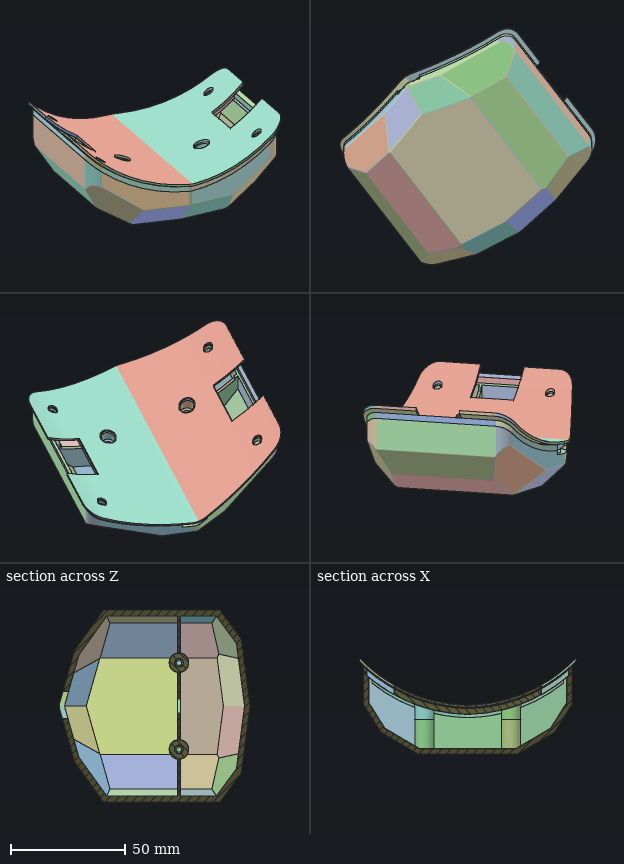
import cadquery as cq
import math

plate_half_length = 47.4
left_tip_x = -43.9
right_tip_x = 43.4
left_taper = 15.8
right_taper = 7.4
plate_corner_radius = 8.0
plate_tip_radius = 11.4

saddle_radius = 67.3
saddle_centre_offset = 1.1
plate_top_z = 42.2
plate_thickness = 1.0
lid_gap = 0.4
lid_height = 2.7

housing_inset = 1.7
housing_tip_radius = 5.7
wall = 2.5
side_bevel = 10.6
upper_facet_z = 21.8
knee_y = 38.0
knee_z = 9.6
floor_half_length = 21.8
facet_round = 0.8
border_round = 0.7

left_facet_knee_x = -20.6
left_facet_turn = 35.7
left_facet_dip = 31.0
right_facet_knee_x = 25.8
right_facet_turn = 36.4
right_facet_dip = 34.9

notch_left_x = -8.1
notch_right_x = 11.8
notch_inner_y = 32.2
opening_margin = 1.9
rim_width = 1.6

mount_hole_x = (-23.1, 28.45)
mount_hole_y = 37.4
mount_hole_diameter = 4.0
lid_mount_hole_diameter = 3.5
screw_x = 10.5
screw_y = 19.0
screw_access_diameter = 7.0
screw_head_diameter = 6.0
screw_clearance_diameter = 3.6
screw_pilot_diameter = 2.5
screw_pilot_depth = 7.6
drill_tip_angle = 118.0
screw_seat_z = 17.1
boss_diameter = 8.5
boss_joint_z = 15.2

divider_thickness = 1.2
divider_drop = 1.4
divider_full_height_y = 41.9

slot_width = 11.95
slot_centre_y = 0.5
slot_drop = 1.8
slot_lid_face_x = -39.8
slot_inner_x = -36.0

span = 142.3
level_tolerance = 0.03


def outline_prism(inset, corner_radius, tip_radius):
    """Vertical prism over the plan outline moved inwards by `inset`."""
    half_length = plate_half_length - inset
    left = math.radians(left_taper)
    right = math.radians(right_taper)
    left_tip = left_tip_x + inset / math.cos(left)
    right_tip = right_tip_x - inset / math.cos(right)
    left_end = left_tip + half_length * math.tan(left)
    right_end = right_tip - half_length * math.tan(right)
    prism = (
        cq.Workplane("XY")
        .polyline([
            (left_tip, 0),
            (left_end, -half_length),
            (right_end, -half_length),
            (right_tip, 0),
            (right_end, half_length),
            (left_end, half_length),
        ])
        .close()
        .extrude(span)
    )
    prism = prism.edges("|Z and (>Y or <Y)").edges("|Z").fillet(corner_radius)
    return prism.edges("|Z and (<X or >X)").fillet(tip_radius)


def below_saddle(offset=0.0, drop=0.0):
    """Everything below the saddle curve, offset outwards and then moved straight down."""
    radius = saddle_radius + offset
    end_y = plate_half_length + 1.9
    centre_z = plate_top_z + math.sqrt(
        saddle_radius**2 - (plate_half_length + saddle_centre_offset) ** 2
    )

    def curve_z(y):
        return centre_z - drop - math.sqrt(radius**2 - (y + saddle_centre_offset) ** 2)

    middle_y = end_y / 2
    return (
        cq.Workplane("YZ")
        .workplane(offset=-span / 2)
        .moveTo(-end_y, -span)
        .lineTo(-end_y, curve_z(end_y))
        .threePointArc((-middle_y, curve_z(middle_y)), (0, curve_z(0)))
        .threePointArc((middle_y, curve_z(middle_y)), (end_y, curve_z(end_y)))
        .lineTo(end_y, -span)
        .close()
        .extrude(span)
    )


def block(x_range, y_range, z_range=(-span, span)):
    """Box between the given limits."""
    size = [high - low for low, high in (x_range, y_range, z_range)]
    corner = (x_range[0], y_range[0], z_range[0])
    return cq.Workplane("XY").box(*size, centered=False).translate(corner)


def cylinder(x, y, diameter, low_z=-span, high_z=span):
    """Vertical cylinder between two heights."""
    return (
        cq.Workplane("XY", origin=(x, y, low_z))
        .circle(diameter / 2)
        .extrude(high_z - low_z)
    )


def outer_side(point, normal, inset):
    """Solid on the outer side of a plane that is moved inwards by `inset`."""
    plane = cq.Plane(origin=point, normal=normal)
    return (
        cq.Workplane(plane)
        .workplane(offset=-inset)
        .rect(2 * span, 2 * span)
        .extrude(span)
    )


def facet_planes():
    """Point and outward normal of every lower facet of the housing."""
    planes = []
    left = math.radians(left_taper)
    right = math.radians(right_taper)
    left_edge_x = left_tip_x + housing_inset / math.cos(left)
    right_edge_x = right_tip_x - housing_inset / math.cos(right)
    end_y = plate_half_length - housing_inset
    for side in (-1, 1):
        planes.append(((left_edge_x, 0, side_bevel), (-math.cos(left), side * math.sin(left), -1)))
        planes.append(((right_edge_x, 0, side_bevel), (math.cos(right), side * math.sin(right), -1)))
        planes.append(((0, side * knee_y, knee_z), (0, side * (upper_facet_z - knee_z), knee_y - end_y)))
        planes.append(((0, side * knee_y, knee_z), (0, side * knee_z, floor_half_length - knee_y)))
        for direction, knee_x, turn, dip in (
            (-1, left_facet_knee_x, left_facet_turn, left_facet_dip),
            (1, right_facet_knee_x, right_facet_turn, right_facet_dip),
        ):
            turn = math.radians(turn)
            normal = (direction * math.cos(turn), side * math.sin(turn), -math.tan(math.radians(dip)))
            planes.append(((knee_x, side * knee_y, knee_z), normal))
    return planes


def faceted_solid(inset):
    """Faceted housing shape with every face moved inwards by `inset`."""
    corner_radius = plate_corner_radius - housing_inset - inset
    tip_radius = housing_tip_radius - inset
    solid = outline_prism(housing_inset + inset, corner_radius, tip_radius)
    solid = solid.cut(outer_side((0, 0, 0), (0, 0, -1), inset))
    for point, normal in facet_planes():
        solid = solid.cut(outer_side(point, normal, inset))
    return solid


def facet_edges(solid, along_walls):
    """Edges between two facets, or between a facet and an upright wall."""
    faces = solid.faces().vals()
    chosen = []
    for edge in solid.edges().vals():
        middle = edge.positionAt(0.5)
        neighbours = [f for f in faces if any(edge.isSame(other) for other in f.Edges())]
        facing_down = [f for f in neighbours if f.normalAt(middle).z < -level_tolerance]
        upright = [f for f in neighbours if abs(f.normalAt(middle).z) < level_tolerance]
        if along_walls and facing_down and upright:
            chosen.append(edge)
        if not along_walls and len(facing_down) == 2:
            chosen.append(edge)
    return chosen


def rounded_facets(solid):
    """Round the ridges between the facets first, then the borders along the walls."""
    for radius, along_walls in ((facet_round, False), (border_round, True)):
        edges = facet_edges(solid, along_walls)
        solid = cq.Workplane(solid.val().fillet(radius, edges))
    return solid


lid_top_offset = plate_thickness + lid_gap
lid_top = below_saddle(lid_top_offset)
lid_underside = below_saddle(lid_top_offset, lid_height)
slot_y = (slot_centre_y - slot_width / 2, slot_centre_y + slot_width / 2)
screw_places = [(screw_x, -screw_y), (screw_x, screw_y)]
mount_places = [(x, y) for x in mount_hole_x for y in (-mount_hole_y, mount_hole_y)]


def make_plate():
    plate = outline_prism(0, plate_corner_radius, plate_tip_radius)
    plate = plate.intersect(below_saddle()).cut(below_saddle(plate_thickness))
    notch_x = (notch_left_x, notch_right_x)
    for y_range in ((-span, -notch_inner_y), (notch_inner_y, span)):
        plate = plate.cut(block(notch_x, y_range))
    for x, y in mount_places:
        plate = plate.cut(cylinder(x, y, mount_hole_diameter))
    for x, y in screw_places:
        plate = plate.cut(cylinder(x, y, screw_access_diameter))
    return plate


def make_lid():
    lid_outline = outline_prism(
        housing_inset, plate_corner_radius - housing_inset, housing_tip_radius
    )
    lid = lid_outline.intersect(lid_top).cut(lid_underside)
    opening_x = (notch_left_x - opening_margin, notch_right_x + opening_margin)
    rim_y = plate_half_length - housing_inset - rim_width
    for y_range in ((-rim_y, -notch_inner_y), (notch_inner_y, rim_y)):
        lid = lid.cut(block(opening_x, y_range))
    for x, y in mount_places:
        lid = lid.cut(cylinder(x, y, lid_mount_hole_diameter))
    for x, y in screw_places:
        lid = lid.union(cylinder(x, y, boss_diameter, boss_joint_z).intersect(lid_top))
        lid = lid.cut(cylinder(x, y, screw_head_diameter, screw_seat_z))
        lid = lid.cut(cylinder(x, y, screw_clearance_diameter))
    return lid.cut(block((-span, slot_lid_face_x), slot_y))


def make_divider():
    """Wall along Y that stands on the housing floor and carries the screw bosses."""
    divider_x = (screw_x - divider_thickness / 2, screw_x + divider_thickness / 2)
    divider = block(divider_x, (-span, span))
    middle = block(divider_x, (-divider_full_height_y, divider_full_height_y))
    divider = divider.cut(middle.cut(below_saddle(lid_top_offset, lid_height + divider_drop)))
    for x, y in screw_places:
        divider = divider.cut(cylinder(x, y, boss_diameter, boss_joint_z))
        divider = divider.union(cylinder(x, y, boss_diameter, -span, boss_joint_z))
    return divider


def make_pilot_hole(x, y):
    """Drilled screw hole with a conical tip, open at the top of a housing boss."""
    radius = screw_pilot_diameter / 2
    tip_height = radius / math.tan(math.radians(drill_tip_angle / 2))
    bottom_z = boss_joint_z - screw_pilot_depth
    return (
        cq.Workplane("XZ", origin=(x, y, 0))
        .moveTo(0, bottom_z - tip_height)
        .lineTo(radius, bottom_z)
        .lineTo(radius, boss_joint_z)
        .lineTo(0, boss_joint_z)
        .close()
        .revolve(360, (0, 0), (0, 1))
    )


def make_housing():
    body = rounded_facets(faceted_solid(0))
    cavity = faceted_solid(wall).cut(make_divider())
    housing = body.cut(cavity).intersect(lid_underside)
    for x, y in screw_places:
        housing = housing.cut(make_pilot_hole(x, y))
    slot_floor = below_saddle(lid_top_offset, lid_height + slot_drop)
    slot = block((-span, slot_inner_x), slot_y).cut(slot_floor)
    return housing.cut(slot)


plate = make_plate()
lid = make_lid()
housing = make_housing()

result = cq.Compound.makeCompound([plate.val(), lid.val(), housing.val()])